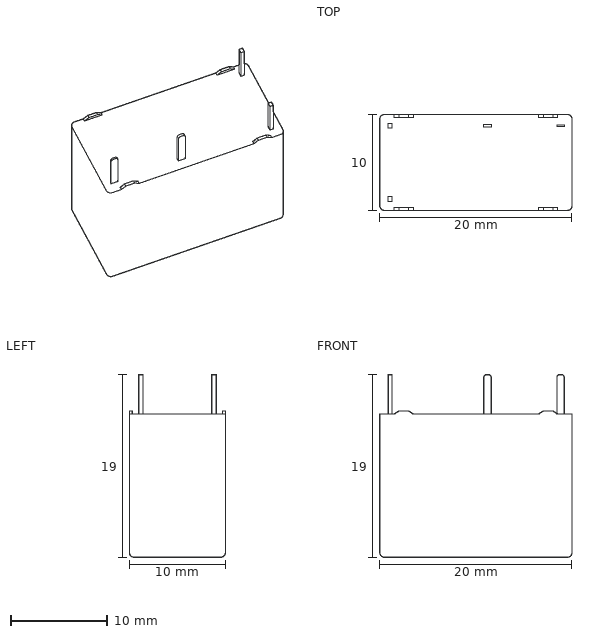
import cadquery as cq

case_length = 20.0
case_width = 10.0
total_height = 19.0
pin_height = 4.1
case_height = total_height - pin_height
edge_radius = 0.5

standoff_spacing = 15.0
standoff_base = 2.0
standoff_crest = 1.0
standoff_height = 0.32
standoff_depth = 0.32

row_spacing = 7.6
coil_pin_x = -8.92
coil_pin_length = 0.4
coil_pin_width = 0.48
blade_width = 0.8
blade_tip_radius = 0.32
center_blade_x = 1.2
center_blade_thickness = 0.28
end_blade_x = center_blade_x + row_spacing
end_blade_thickness = 0.18


def make_case():
    """Box with rounded upright edges and a rounded closed end; the pin face stays sharp."""
    block = cq.Workplane("XY").box(case_length, case_width, case_height, centered=(True, True, False))
    return block.edges("|Z").fillet(edge_radius).faces("<Z").edges().fillet(edge_radius)


def make_standoff(x, y):
    """Trapezoidal foot centred at (x, y) on the pin face."""
    half_base = standoff_base / 2
    half_crest = standoff_crest / 2
    return (
        cq.Workplane("XZ")
        .moveTo(-half_base, 0)
        .lineTo(-half_crest, standoff_height)
        .lineTo(half_crest, standoff_height)
        .lineTo(half_base, 0)
        .close()
        .extrude(standoff_depth / 2, both=True)
        .translate((x, y, case_height))
    )


def make_pin(x, y, length, width):
    """Rectangular pin standing on the pin face."""
    pin = cq.Workplane("XY").box(length, width, pin_height, centered=(True, True, False))
    return pin.translate((x, y, case_height))


def make_blade(x, y, thickness):
    """Flat contact pin with rounded tip corners."""
    return make_pin(x, y, blade_width, thickness).faces(">Z").edges("|Y").fillet(blade_tip_radius)


result = make_case()

standoff_y = (case_width - standoff_depth) / 2
row_y = row_spacing / 2
for side in (-1, 1):
    for end in (-1, 1):
        result = result.union(make_standoff(end * standoff_spacing / 2, side * standoff_y))
    result = result.union(make_pin(coil_pin_x, side * row_y, coil_pin_length, coil_pin_width))

result = result.union(make_blade(center_blade_x, row_y, center_blade_thickness))
result = result.union(make_blade(end_blade_x, row_y, end_blade_thickness))